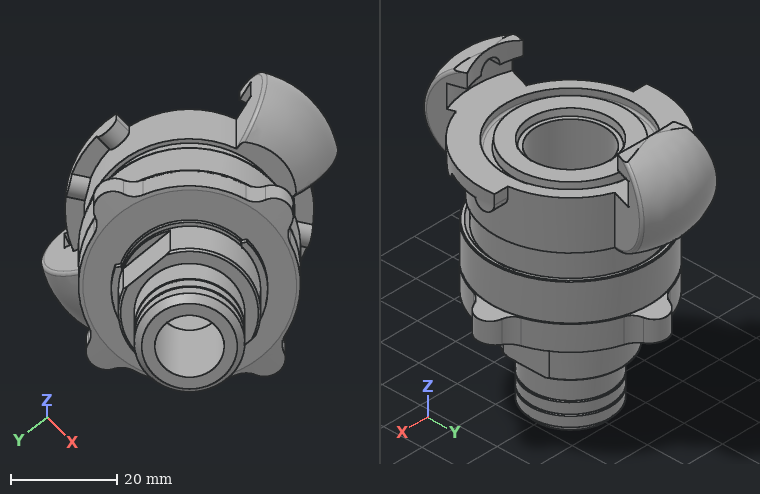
import cadquery as cq
import math

TOTAL_HEIGHT = 70.85
FACE_Z = 60.15
HEAD_BOTTOM_Z = 47.6
NUT_TOP_Z = 41.95
NUT_SHOULDER_Z = 32.15
NUT_BOTTOM_Z = 25.65
CLIP_GROOVE_TOP_Z = 25.4
CLIP_TOP_Z = 25.0
COLLAR_TOP_Z = 23.8
FLAT_TOP_Z = 22.95
COLLAR_BOTTOM_Z = 14.0

HEAD_RADIUS = 19.8
NECK_RADIUS = 37.9 / 2
STEM_RADIUS = 26.8 / 2
CLIP_SEAT_RADIUS = 23.0 / 2
TAIL_RADIUS = 20.8 / 2
COLLAR_CHAMFER = 0.4
TAIL_TIP_RADIUS = 9.0
TAIL_CHAMFER_HEIGHT = 1.55
TAIL_GROOVES_Z = (4.3, 7.45)
TAIL_GROOVE_WIDTH = 0.4
TAIL_GROOVE_DEPTH = 0.3
FLAT_DISTANCE = 12.0

BORE_RADIUS = 18.0 / 2
OUTLET_RADIUS = 13.0 / 2
BORE_END_Z = 21.25
BORE_CONE_HEIGHT = 1.5
SEAL_DEPTH = 1.6
RECESS_DEPTH = 2.0
SEAL_POCKET_RADIUS = 34.0 / 2
SEAL_POCKET_FILLET = 0.5
SEAL_TOP_RADIUS = 29.0 / 2
SEAL_BASE_RADIUS = 14.7
SEAL_MOUTH_RADIUS = 20.7 / 2
SEAL_MOUTH_BASE_RADIUS = 20.0 / 2

LUG_RADIUS = 23.45
LUG_THICKNESS = 3.1
BUMP_RADIUS = 2.55
BUMP_AXIS_Z = 57.7
BUMP_ANGLES = (0.0, 34.5)

CLAW_REACH = 62.8 / 2
CLAW_PROFILE_RADIUS = 12.0
CLAW_BARREL_RADIUS = 19.4
CLAW_INNER_RADIUS = 21.05
CLAW_CROWN_RADIUS = 23.4
CLAW_HALF_WIDTH = 8.1
CLAW_SIDE_ANGLE = 18.0
CLAW_EDGE_FILLET = 0.8
WEDGE_OVERRUN = 0.7
JAW_RADIUS = 25.35
JAW_TOP_Z = 65.95

CLIP_RADIUS = 14.7
CLIP_END_REACH = 7.5
CLIP_OPENING_ANGLE = 210.0

NUT_RADIUS = 20.9
NUT_CHAMFER = 0.2
NUT_ENTRY_CHAMFER = 1.0
NUT_NECK_BORE_RADIUS = 38.0 / 2
NUT_STEM_BORE_RADIUS = 27.5 / 2
LOBE_REACH = 50.0 / 2
LOBE_RADIUS = 3.8
LOBE_BLEND = 4.1
LOBE_COUNT = 4
FLANGE_RIM_BOTTOM_Z = 26.3
FLANGE_RIM_TOP_Z = 31.45
FLANGE_FLAT_RADIUS = 20.1


def revolve_profile(points):
    """Solid of revolution about Z from (radius, height) points."""
    return cq.Workplane("XZ").polyline(points).close().revolve(360, (0, 0, 0), (0, 1, 0))


def disc(radius, bottom, top):
    return cq.Workplane("XY").workplane(offset=bottom).circle(radius).extrude(top - bottom)


def half_turn(shape):
    return shape.rotate((0, 0, 0), (0, 0, 1), 180)


def make_turned_body():
    """Solid head, neck, collar and hose tail, with the grooves of the tail."""
    body = revolve_profile([
        (0, 0),
        (TAIL_TIP_RADIUS, 0),
        (TAIL_RADIUS, TAIL_CHAMFER_HEIGHT),
        (TAIL_RADIUS, COLLAR_BOTTOM_Z),
        (STEM_RADIUS - COLLAR_CHAMFER, COLLAR_BOTTOM_Z),
        (STEM_RADIUS, COLLAR_BOTTOM_Z + COLLAR_CHAMFER),
        (STEM_RADIUS, COLLAR_TOP_Z),
        (CLIP_SEAT_RADIUS, COLLAR_TOP_Z),
        (CLIP_SEAT_RADIUS, CLIP_GROOVE_TOP_Z),
        (STEM_RADIUS, CLIP_GROOVE_TOP_Z),
        (STEM_RADIUS, NUT_SHOULDER_Z),
        (NECK_RADIUS, NUT_SHOULDER_Z),
        (NECK_RADIUS, HEAD_BOTTOM_Z),
        (HEAD_RADIUS, HEAD_BOTTOM_Z),
        (HEAD_RADIUS, FACE_Z),
        (0, FACE_Z),
    ])
    for z in TAIL_GROOVES_Z:
        body = body.cut(revolve_profile([
            (TAIL_RADIUS, z - TAIL_GROOVE_WIDTH / 2),
            (TAIL_RADIUS - TAIL_GROOVE_DEPTH, z),
            (TAIL_RADIUS, z + TAIL_GROOVE_WIDTH / 2),
        ]))
    return body


def make_wrench_flat():
    """Block that cuts the flat on the +X side of the collar."""
    return cq.Workplane("XY").box(
        STEM_RADIUS, 2 * STEM_RADIUS, FLAT_TOP_Z - COLLAR_BOTTOM_Z, centered=(False, True, False)
    ).translate((FLAT_DISTANCE, 0, COLLAR_BOTTOM_Z))


def make_lug():
    """Lug from the +Y claw round to the -X side, with the detent bumps below it."""
    bump_bottom = BUMP_AXIS_Z - BUMP_RADIUS
    quadrant = cq.Workplane("XY").box(LUG_RADIUS, LUG_RADIUS, TOTAL_HEIGHT, centered=False)
    quadrant = quadrant.rotate((0, 0, 0), (0, 0, 1), 90)
    lug = disc(LUG_RADIUS, FACE_Z - LUG_THICKNESS, FACE_Z).intersect(quadrant)
    for angle in BUMP_ANGLES:
        bump = (
            cq.Workplane("YZ")
            .moveTo(-BUMP_RADIUS, FACE_Z)
            .lineTo(-BUMP_RADIUS, BUMP_AXIS_Z)
            .threePointArc((0, bump_bottom), (BUMP_RADIUS, BUMP_AXIS_Z))
            .lineTo(BUMP_RADIUS, FACE_Z)
            .close()
            .extrude(-LUG_RADIUS)
            .rotate((0, 0, 0), (0, 0, 1), -angle)
        )
        lug = lug.union(bump.intersect(disc(LUG_RADIUS, bump_bottom, FACE_Z)))
    return lug


def make_claw():
    """Hooked claw on the +Y side, before its jaw is cut."""
    profile_y = CLAW_REACH - CLAW_PROFILE_RADIUS
    tip_dy = CLAW_INNER_RADIUS - profile_y
    profile_z = TOTAL_HEIGHT - math.sqrt(CLAW_PROFILE_RADIUS**2 - tip_dy**2)
    bottom_y = profile_y + math.sqrt(CLAW_PROFILE_RADIUS**2 - (profile_z - HEAD_BOTTOM_Z)**2)
    axis_y = CLAW_REACH - CLAW_BARREL_RADIUS
    top_z = profile_z + CLAW_PROFILE_RADIUS
    barrel = (
        cq.Workplane("YZ")
        .moveTo(axis_y, HEAD_BOTTOM_Z)
        .lineTo(bottom_y, HEAD_BOTTOM_Z)
        .threePointArc((CLAW_REACH, profile_z), (profile_y, top_z))
        .lineTo(axis_y, top_z)
        .close()
        .revolve(360, (axis_y, 0, 0), (axis_y, 1, 0))
    )
    slope = math.tan(math.radians(CLAW_SIDE_ANGLE))
    inner_half = CLAW_HALF_WIDTH - slope * (CLAW_INNER_RADIUS - axis_y)
    wedge_end = CLAW_REACH + WEDGE_OVERRUN
    outer_half = CLAW_HALF_WIDTH + slope * (wedge_end - CLAW_INNER_RADIUS)
    wedge = (
        cq.Workplane("XY").workplane(offset=HEAD_BOTTOM_Z)
        .polyline([
            (-inner_half, axis_y),
            (inner_half, axis_y),
            (outer_half, wedge_end),
            (-outer_half, wedge_end),
        ]).close().extrude(TOTAL_HEIGHT)
    )
    claw = barrel.intersect(wedge).edges("%BSPLINE").fillet(CLAW_EDGE_FILLET)
    crown = (
        cq.Workplane("XZ").center(0, TOTAL_HEIGHT - CLAW_CROWN_RADIUS)
        .circle(CLAW_CROWN_RADIUS).extrude(-2 * CLAW_REACH)
    )
    return claw.intersect(crown)


def make_jaw_space():
    """Space cleared above the face: the jaw slot, the opening above it and the tip notches."""
    space = disc(JAW_RADIUS, FACE_Z, JAW_TOP_Z).union(disc(CLAW_INNER_RADIUS, FACE_Z, TOTAL_HEIGHT))
    notch = (
        cq.Workplane("XZ").center(0, JAW_TOP_Z).circle(BUMP_RADIUS)
        .extrude(JAW_RADIUS, both=True)
        .intersect(disc(JAW_RADIUS, FACE_Z, TOTAL_HEIGHT))
    )
    return space.union(notch)


def make_face_recess():
    """Space round and inside the seal ring, with the through bore."""
    floor_z = FACE_Z - SEAL_DEPTH
    recess_floor_z = FACE_Z - RECESS_DEPTH
    recess = disc(SEAL_POCKET_RADIUS, recess_floor_z, FACE_Z).faces("<Z").edges().fillet(SEAL_POCKET_FILLET)
    seal = revolve_profile([
        (0, recess_floor_z),
        (SEAL_BASE_RADIUS, recess_floor_z),
        (SEAL_TOP_RADIUS, FACE_Z),
        (0, FACE_Z),
    ])
    recess = recess.cut(seal)
    bore = revolve_profile([
        (0, 0),
        (OUTLET_RADIUS, 0),
        (OUTLET_RADIUS, BORE_END_Z - BORE_CONE_HEIGHT),
        (BORE_RADIUS, BORE_END_Z),
        (BORE_RADIUS, floor_z),
        (SEAL_MOUTH_BASE_RADIUS, floor_z),
        (SEAL_MOUTH_RADIUS, FACE_Z),
        (0, FACE_Z),
    ])
    return recess.union(bore)


def make_clip():
    """Open retaining ring seated on the collar."""
    opening = cq.Workplane("XY").box(
        CLIP_RADIUS, 2 * CLIP_SEAT_RADIUS, TOTAL_HEIGHT, centered=(False, True, False)
    )
    ends = cq.Workplane("XY").box(
        CLIP_RADIUS, 2 * CLIP_RADIUS, TOTAL_HEIGHT, centered=(False, True, False)
    ).translate((CLIP_END_REACH, 0, 0))
    ring = disc(CLIP_RADIUS, COLLAR_TOP_Z, CLIP_TOP_Z).cut(
        disc(CLIP_SEAT_RADIUS, COLLAR_TOP_Z, CLIP_TOP_Z))
    return ring.cut(opening).cut(ends).rotate((0, 0, 0), (0, 0, 1), CLIP_OPENING_ANGLE)


def make_body():
    """Coupling body: head with claws and lugs, stem, clip and hose tail."""
    flat = make_wrench_flat()
    lug = make_lug()
    claw = make_claw()
    body = make_turned_body().cut(flat).cut(half_turn(flat))
    body = body.union(lug).union(half_turn(lug))
    body = body.union(claw).union(half_turn(claw))
    body = body.cut(make_jaw_space()).cut(make_face_recess())
    return body.union(make_clip())


def make_flange_outline():
    """Round flange with a rounded lobe on each axis, blended by concave arcs."""
    lobe_center = LOBE_REACH - LOBE_RADIUS
    blend_distance = NUT_RADIUS + LOBE_BLEND
    arc_distance = LOBE_RADIUS + LOBE_BLEND
    blend_angle = math.acos(
        (blend_distance**2 + lobe_center**2 - arc_distance**2) / (2 * blend_distance * lobe_center)
    )
    blend_x = blend_distance * math.cos(blend_angle)
    blend_y = blend_distance * math.sin(blend_angle)
    on_lobe = LOBE_RADIUS / arc_distance
    joint_x = lobe_center + (blend_x - lobe_center) * on_lobe
    joint_y = blend_y * on_lobe
    rim_x = NUT_RADIUS * math.cos(blend_angle)
    rim_y = NUT_RADIUS * math.sin(blend_angle)

    def turned(x, y, angle):
        return (
            x * math.cos(angle) - y * math.sin(angle),
            x * math.sin(angle) + y * math.cos(angle),
        )

    pitch = 2 * math.pi / LOBE_COUNT
    outline = cq.Workplane("XY").workplane(offset=NUT_BOTTOM_Z).moveTo(rim_x, -rim_y)
    for i in range(LOBE_COUNT):
        angle = i * pitch
        outline = (
            outline
            .radiusArc(turned(joint_x, -joint_y, angle), LOBE_BLEND)
            .threePointArc(turned(LOBE_REACH, 0, angle), turned(joint_x, joint_y, angle))
            .radiusArc(turned(rim_x, rim_y, angle), LOBE_BLEND)
            .threePointArc(
                turned(NUT_RADIUS, 0, angle + pitch / 2),
                turned(rim_x, -rim_y, angle + pitch),
            )
        )
    return outline.close()


def make_nut():
    """Lock nut round the neck and stem, with a lobed flange at its lower end."""
    flange = make_flange_outline().extrude(NUT_SHOULDER_Z - NUT_BOTTOM_Z)
    envelope = revolve_profile([
        (0, NUT_BOTTOM_Z),
        (FLANGE_FLAT_RADIUS, NUT_BOTTOM_Z),
        (LOBE_REACH, FLANGE_RIM_BOTTOM_Z),
        (LOBE_REACH, FLANGE_RIM_TOP_Z),
        (NUT_RADIUS - NUT_CHAMFER, NUT_SHOULDER_Z),
        (0, NUT_SHOULDER_Z),
    ])
    sleeve = disc(NUT_RADIUS, NUT_SHOULDER_Z, NUT_TOP_Z).edges("%CIRCLE").chamfer(NUT_CHAMFER)
    nut = flange.intersect(envelope).union(sleeve)
    entry = revolve_profile([
        (0, NUT_TOP_Z),
        (NUT_NECK_BORE_RADIUS + NUT_ENTRY_CHAMFER, NUT_TOP_Z),
        (NUT_NECK_BORE_RADIUS, NUT_TOP_Z - NUT_ENTRY_CHAMFER),
        (0, NUT_TOP_Z - NUT_ENTRY_CHAMFER),
    ])
    nut = nut.cut(entry).cut(disc(NUT_NECK_BORE_RADIUS, NUT_SHOULDER_Z, NUT_TOP_Z))
    return nut.cut(disc(NUT_STEM_BORE_RADIUS, NUT_BOTTOM_Z, NUT_SHOULDER_Z))


body = make_body()
nut = make_nut()
result = cq.Compound.makeCompound([body.val(), nut.val()])